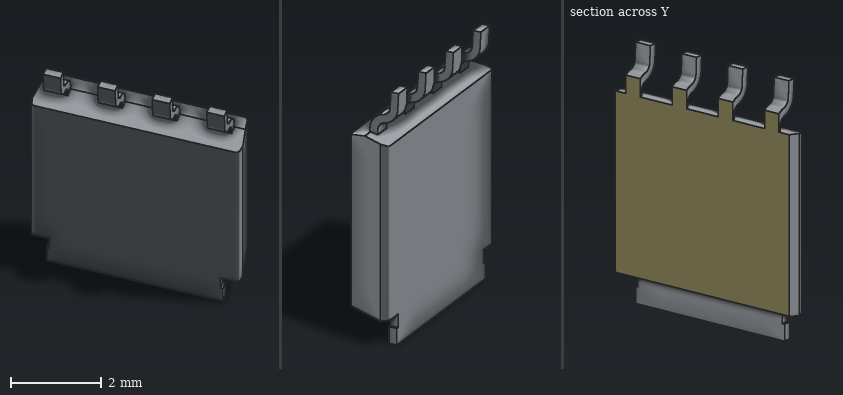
import cadquery as cq
import math

TOTAL_HEIGHT = 6.16
BACK_Y = 1.13

BODY_WIDTH = 4.90
BODY_FRONT_Y = 0.08
BODY_BOTTOM_Z = 0.697
BODY_TOP_Z = 5.083
RIDGE_Y = 0.71
DRAFT = math.tan(math.radians(10))
SIDE_FILLET = 0.10

SHEET = 0.20

TAB_WIDTH = 3.98
TAB_HEIGHT = 3.98
TAB_FOOT_WIDTH = 4.10
TAB_FOOT_HEIGHT = 0.41
TAB_CORNER = 0.10
TAB_BACK_Y = BODY_FRONT_Y + SHEET

INLAY_WIDTH = 2.76
INLAY_HEIGHT = 0.82
INLAY_BOTTOM_Z = 0.34

LEAD_COUNT = 4
LEAD_PITCH = 1.27
LEAD_WIDTH = 0.41
LEAD_BACK_Y = 0.725
LEAD_FOOT_LENGTH = 0.40
LEAD_EMBED = 0.30
LEAD_FOOT_TILT = math.radians(3)
LEAD_BEND_RADIUS = 0.31


def sheet_block(width, height, bottom_z):
    """Piece of sheet centred on X, with its front face flush with the body front."""
    plate = cq.Workplane("XY").box(width, SHEET, height, centered=(True, False, False))
    return plate.translate((0, BODY_FRONT_Y, bottom_z))


def make_body():
    """Drafted sides from the XY outline, drafted ends from the YZ outline."""
    half_width = BODY_WIDTH / 2
    front_half = half_width - DRAFT * (TAB_BACK_Y - BODY_FRONT_Y)
    back_half = half_width - DRAFT * (BACK_Y - TAB_BACK_Y)
    sides = (
        cq.Workplane("XY")
        .polyline([
            (-front_half, BODY_FRONT_Y),
            (front_half, BODY_FRONT_Y),
            (half_width, TAB_BACK_Y),
            (back_half, BACK_Y),
            (-back_half, BACK_Y),
            (-half_width, TAB_BACK_Y),
        ])
        .close()
        .extrude(TOTAL_HEIGHT)
        .edges("|Z and (<Y or >Y)")
        .fillet(SIDE_FILLET)
    )
    ends = (
        cq.Workplane("YZ")
        .polyline([
            (BODY_FRONT_Y, BODY_BOTTOM_Z + DRAFT * (TAB_BACK_Y - BODY_FRONT_Y)),
            (TAB_BACK_Y, BODY_BOTTOM_Z),
            (BACK_Y, BODY_BOTTOM_Z + DRAFT * (BACK_Y - TAB_BACK_Y)),
            (BACK_Y, BODY_TOP_Z - DRAFT * (BACK_Y - RIDGE_Y)),
            (RIDGE_Y, BODY_TOP_Z),
            (BODY_FRONT_Y, BODY_TOP_Z - DRAFT * (RIDGE_Y - BODY_FRONT_Y)),
        ])
        .close()
        .extrude(half_width, both=True)
    )
    return sides.intersect(ends)


def make_tab():
    plate = sheet_block(TAB_WIDTH, TAB_HEIGHT, 0).edges("|Y and >Z").fillet(TAB_CORNER)
    return plate.union(sheet_block(TAB_FOOT_WIDTH, TAB_FOOT_HEIGHT, 0))


def make_inlay():
    inlay = sheet_block(INLAY_WIDTH, INLAY_HEIGHT, INLAY_BOTTOM_Z)
    return inlay.edges("|Y").fillet(TAB_CORNER)


def make_lead():
    """Sheet strip swept from a tilted foot, through two opposite bends, down into the body.

    The bends share one centreline radius; the angle where they meet follows from the sideways offset.
    """
    foot_y = SHEET / 2
    body_y = LEAD_BACK_Y - SHEET / 2
    foot_bend_y = foot_y + LEAD_FOOT_LENGTH * math.tan(LEAD_FOOT_TILT)
    foot_bend_z = TOTAL_HEIGHT - LEAD_FOOT_LENGTH
    offset_in_radii = (body_y - foot_bend_y) / LEAD_BEND_RADIUS
    meeting_angle = math.acos((1 + math.cos(LEAD_FOOT_TILT) - offset_in_radii) / 2)
    middle_y = body_y - LEAD_BEND_RADIUS * (1 - math.cos(meeting_angle))
    middle_z = foot_bend_z - LEAD_BEND_RADIUS * (math.sin(meeting_angle) - math.sin(LEAD_FOOT_TILT))
    body_bend_z = middle_z - LEAD_BEND_RADIUS * math.sin(meeting_angle)
    path = (
        cq.Workplane("YZ")
        .moveTo(foot_y, TOTAL_HEIGHT)
        .lineTo(foot_bend_y, foot_bend_z)
        .tangentArcPoint((middle_y, middle_z), relative=False)
        .tangentArcPoint((body_y, body_bend_z), relative=False)
        .lineTo(body_y, BODY_TOP_Z - LEAD_EMBED)
    )
    section = cq.Workplane("XY", origin=(0, foot_y, TOTAL_HEIGHT)).rect(LEAD_WIDTH, SHEET)
    return section.sweep(path)


tab = make_tab()
inlay = make_inlay()
result = make_body().cut(tab).union(tab.cut(inlay), clean=False).union(inlay, clean=False)

lead = make_lead()
for index in range(LEAD_COUNT):
    lead_x = (index - (LEAD_COUNT - 1) / 2) * LEAD_PITCH
    result = result.union(lead.translate((lead_x, 0, 0)), clean=False)